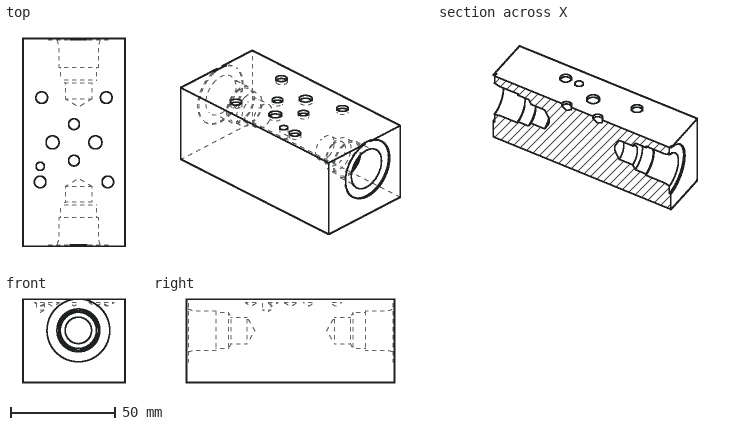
import cadquery as cq
import math

WIDTH = 49.0
LENGTH = 100.1
HEIGHT = 40.1

CAVITY_X = 2.1
CAVITY_BELOW_TOP = 15.0
SPOTFACE_DIAMETER = 30.2
SPOTFACE_DEPTH = 0.8
ENTRY_DIAMETER = 20.6
THREAD_DIAMETER = 19.0
PILOT_DIAMETER = 17.4
NOSE_DIAMETER = 12.7
ENTRY_CHAMFER_ANGLE = 15.0
THREAD_END = 14.0
PILOT_END = 20.0
NOSE_END = 29.0

POINT_ANGLE = 118.0
DRILL_DEPTH = 1.6
BOLT_DIAMETER = 5.6
PIN_DIAMETER = 4.0
PIN_DEPTH = 5.0
SMALL_PORT_DIAMETER = 5.2
LARGE_PORT_DIAMETER = 6.3

REAR_BOLT_SPACING = 31.0
REAR_BOLT_Y = 21.5
FRONT_BOLT_SPACING = 32.5
FRONT_BOLT_Y = -19.0
PIN_Y = -11.5
SMALL_PORT_SPACING = 17.5
LARGE_PORT_SPACING = 20.6


def point_height(wide_diameter, narrow_diameter=0.0):
    """Axial length of a drill-point cone between two diameters."""
    return (wide_diameter - narrow_diameter) / 2 / math.tan(math.radians(POINT_ANGLE / 2))


def drilled_hole(diameter, depth):
    """Hole with a conical bottom, from Z = 0 downwards; depth is to the full diameter."""
    profile = [(0, 0), (diameter / 2, 0), (diameter / 2, -depth), (0, -depth - point_height(diameter))]
    return cq.Workplane("XZ").polyline(profile).close().revolve(360, (0, 0), (0, 1))


def cavity():
    """Stepped cavity on the Y axis, from the end face at Y = 0 towards +Y."""
    chamfer_length = (ENTRY_DIAMETER - THREAD_DIAMETER) / 2 / math.tan(math.radians(ENTRY_CHAMFER_ANGLE))
    profile = [
        (0, 0),
        (SPOTFACE_DIAMETER / 2, 0),
        (SPOTFACE_DIAMETER / 2, SPOTFACE_DEPTH),
        (ENTRY_DIAMETER / 2, SPOTFACE_DEPTH),
        (THREAD_DIAMETER / 2, SPOTFACE_DEPTH + chamfer_length),
        (THREAD_DIAMETER / 2, THREAD_END),
        (PILOT_DIAMETER / 2, THREAD_END),
        (PILOT_DIAMETER / 2, PILOT_END),
        (NOSE_DIAMETER / 2, PILOT_END + point_height(PILOT_DIAMETER, NOSE_DIAMETER)),
        (NOSE_DIAMETER / 2, NOSE_END),
        (0, NOSE_END + point_height(NOSE_DIAMETER)),
    ]
    return cq.Workplane("XY").polyline(profile).close().revolve(360, (0, 0), (0, 1))


result = cq.Workplane("XY").box(WIDTH, LENGTH, HEIGHT, centered=(True, True, False))

front_cavity = cavity().translate((CAVITY_X, -LENGTH / 2, HEIGHT - CAVITY_BELOW_TOP))
result = result.cut(front_cavity).cut(front_cavity.mirror("XZ"))

hole_groups = [
    (BOLT_DIAMETER, DRILL_DEPTH, [(side * REAR_BOLT_SPACING / 2, REAR_BOLT_Y) for side in (-1, 1)]),
    (BOLT_DIAMETER, DRILL_DEPTH, [(side * FRONT_BOLT_SPACING / 2, FRONT_BOLT_Y) for side in (-1, 1)]),
    (PIN_DIAMETER, PIN_DEPTH, [(-FRONT_BOLT_SPACING / 2, PIN_Y)]),
    (SMALL_PORT_DIAMETER, DRILL_DEPTH, [(0, side * SMALL_PORT_SPACING / 2) for side in (-1, 1)]),
    (LARGE_PORT_DIAMETER, DRILL_DEPTH, [(side * LARGE_PORT_SPACING / 2, 0) for side in (-1, 1)]),
]
for diameter, depth, centres in hole_groups:
    hole = drilled_hole(diameter, depth)
    for x, y in centres:
        result = result.cut(hole.translate((x, y, HEIGHT)))